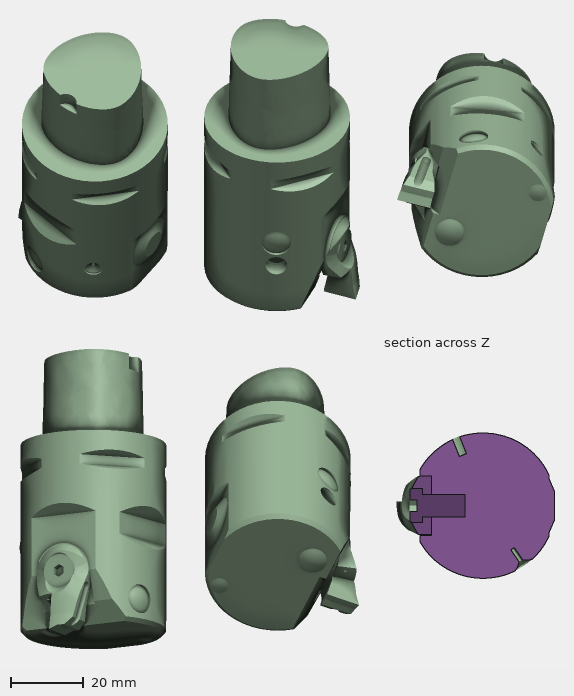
import cadquery as cq
import math


body_radius = 20.0
body_bottom = -53.0
bottom_chamfer = 1.1
shank_length = 24.0
shank_size = 28.0
shank_lobe = 0.73
shank_taper = 1 / 20
shank_curve_points = 72
key_diameter = 6.0
key_axis_y = -13.8
key_depth = 4.3

gripper_z = -8.05
gripper_floor_height = 2.6
gripper_floor_radius = 17.7
gripper_wall_angle = 30.0
gripper_directions = (45, 135, 225, 315)
flat_wall_angle = 45.0
flat_top = -22.75
flat_bottom = -28.85
flat_floor_radius = 17.2
flat_direction = 260.0
back_flat_x = 18.16
back_flat_top = -30.6
back_relief_x = 19.9
back_relief_top = -23.3

front_flat_half_width = 10.0
front_flat_x = -math.sqrt(body_radius**2 - front_flat_half_width**2)
seat_z = -39.0
nose_angle = 18.0
kink_z = -47.35
kink_angle = 33.0
kink_side_y = 3.7
pocket_diameter = 16.1
seat_x = -14.15

plug_diameter = 8.02
plug_sphere_radius = 8.0
plug_length = 3.0
side_plug_angle = 111.7
low_plug_z = -46.4
high_plug_z = -28.4
high_plug_lift = 0.3
bottom_plug_center = (-6.9, 8.1)
small_plug_center = (13.3, -9.75)
small_plug_diameter = 5.0
button_base_diameter = 14.8
button_top_diameter = 7.6
button_height = 1.55
button_root = 1.0
nozzle_direction = -55.6
nozzle_z = seat_z
nozzle_rim_diameter = 5.25
nozzle_cone_diameter = 4.4
nozzle_hole_diameter = 1.0
nozzle_rim_depth = 0.4
nozzle_cone_depth = 1.2
nozzle_hole_depth = 4.0
side_hole_diameter = 6.0
side_hole_z = -36.2
side_hole_depth = 5.0

disc_diameter = 16.0
insert_front_x = -20.5
crown_start_x = -18.5
crown_start_radius = 7.65
arm_back_x = -15.7
arm_back_bend_z = -48.6
arm_foot_x = -14.4
foot_z = -55.0
tip_z = -56.0
tip_x = -23.74
swell_start_z = -39.5
swell_end_x = -22.2
swell_end_z = -45.4
tip_flare_x = -22.95
tip_flare_z = -51.8
face_radius = 13.5
cutting_edge_y = 1.1
tip_width = 2.4
flank_corner = (-5.3, -52.9)
foot_corner_y = -3.35
ledge_corner = (4.75, -47.3)
ledge_front_z = -45.4
ledge_hole_diameter = 1.0
ledge_hole_center = (-18.5, 3.9)
ledge_hole_top = -44.5
channel_diameter = 2.5
channel_top = (-17.6, -43.6)
channel_bottom = (-19.8, -56.5)

head_diameter = 9.2
head_front_x = -20.15
head_length = 3.5
thread_diameter = 6.0
bore_diameter = 6.1
screw_end_x = -5.0
socket_width = 3.1
socket_depth = 2.0
socket_sides = 6

far = 30.0


def box(x, y, z):
    """Box from (min, max) pairs along X, Y and Z."""
    size = (x[1] - x[0], y[1] - y[0], z[1] - z[0])
    return cq.Workplane("XY").box(*size, centered=False).translate((x[0], y[0], z[0]))


def prism_y(points, y_min, y_max):
    """(x, z) outline extruded along Y."""
    outline = cq.Workplane("XZ", origin=(0, y_max, 0)).polyline(points).close()
    return outline.extrude(y_max - y_min)


def rod_x(diameter, x_min, x_max):
    """Cylinder on the insert screw axis, parallel to X."""
    plane = cq.Workplane("YZ", origin=(x_min, 0, seat_z))
    return plane.circle(diameter / 2).extrude(x_max - x_min)


def revolve_x(points):
    """(x, radius) outline turned about the insert screw axis."""
    outline = cq.Workplane("XZ", origin=(0, 0, seat_z)).polyline(points).close()
    return outline.revolve(360, (0, 0, 0), (1, 0, 0))


def radial_solid(points, direction, z):
    """(distance from tool axis, radius) outline turned about a radial axis."""
    outline = cq.Workplane("XZ").polyline(points).close()
    turned = outline.revolve(360, (0, 0, 0), (1, 0, 0))
    return turned.rotate((0, 0, 0), (0, 0, 1), direction).translate((0, 0, z))


def polygon_shank():
    """Tapered three-lobed shank with one lobe pointing to +Y."""
    def lobed_curve(size):
        def point(t):
            angle = 2 * math.pi * t
            reach = size / 2 - shank_lobe * math.sin(3 * angle)
            slope = -3 * shank_lobe * math.cos(3 * angle)
            x = reach * math.cos(angle) - slope * math.sin(angle)
            y = reach * math.sin(angle) + slope * math.cos(angle)
            return (x, y)
        return point

    top_size = shank_size - shank_taper * shank_length
    shank = (
        cq.Workplane("XY")
        .parametricCurve(lobed_curve(shank_size), N=shank_curve_points)
        .workplane(offset=shank_length)
        .parametricCurve(lobed_curve(top_size), N=shank_curve_points)
        .loft(ruled=True)
    )
    key_plane = cq.Workplane("XY", origin=(0, key_axis_y, shank_length))
    return shank.cut(key_plane.circle(key_diameter / 2).extrude(-key_depth))


def edge_groove(floor_radius, z_top, z_bottom, wall_angle, direction):
    """Straight groove across the cylinder with sloped upper and lower walls."""
    rise = (far - floor_radius) * math.tan(math.radians(wall_angle))
    section = [
        (floor_radius, z_bottom),
        (floor_radius, z_top),
        (far, z_top + rise),
        (far, z_bottom - rise),
    ]
    return prism_y(section, -far, far).rotate((0, 0, 0), (0, 0, 1), direction)


def cut_flats(body):
    half_floor = gripper_floor_height / 2
    for direction in gripper_directions:
        groove = edge_groove(
            gripper_floor_radius, gripper_z + half_floor, gripper_z - half_floor,
            gripper_wall_angle, direction,
        )
        body = body.cut(groove)
    side_flat = edge_groove(
        flat_floor_radius, flat_top, flat_bottom, flat_wall_angle, flat_direction
    )
    back_flat = edge_groove(back_flat_x, back_flat_top, body_bottom, flat_wall_angle, 0)
    body = body.cut(side_flat).cut(back_flat)
    return body.cut(box((back_relief_x, far), (-far, far), (back_flat_top, back_relief_top)))


def cut_nose(body):
    """Front flat that leans inward below the seat centre, with a steeper corner."""
    nose_slope = math.tan(math.radians(nose_angle))
    kink_slope = math.tan(math.radians(kink_angle))
    kink_x = front_flat_x + nose_slope * (seat_z - kink_z)
    bottom_x = front_flat_x + nose_slope * (seat_z - body_bottom)
    kink_bottom_x = kink_x + kink_slope * (kink_z - body_bottom)
    flat_and_nose = [
        (front_flat_x, flat_top),
        (front_flat_x, seat_z),
        (bottom_x, body_bottom),
        (-far, body_bottom),
        (-far, flat_top + far + front_flat_x),
    ]
    corner = [(kink_x, kink_z), (kink_bottom_x, body_bottom), (-far, body_bottom), (-far, kink_z)]
    body = body.cut(prism_y(flat_and_nose, -far, far))
    return body.cut(prism_y(corner, -far, kink_side_y))


def cut_seat(body):
    half_width = pocket_diameter / 2
    round_end = rod_x(pocket_diameter, -far, seat_x)
    open_end = box((-far, seat_x), (-half_width, half_width), (body_bottom, seat_z))
    thread = rod_x(thread_diameter, seat_x, screw_end_x)
    return body.cut(round_end).cut(open_end).cut(thread)


def dome_plug(diameter):
    """Short plug along +Z whose spherical crown peaks at the origin."""
    radius = diameter / 2
    crown = plug_sphere_radius - math.sqrt(plug_sphere_radius**2 - radius**2)
    ball = cq.Workplane("XY").sphere(plug_sphere_radius).translate((0, 0, -plug_sphere_radius))
    plug = cq.Workplane("XY").circle(radius).extrude(-plug_length).intersect(ball)
    return plug, crown


def add_side_plug(body, direction, z, peak_radius):
    """Domed plug in a radial hole of the cylinder wall."""
    plug, crown = dome_plug(plug_diameter)
    plug = plug.rotate((0, 0, 0), (0, 1, 0), 90).translate((peak_radius, 0, 0))
    plug = plug.rotate((0, 0, 0), (0, 0, 1), direction).translate((0, 0, z))
    rim = peak_radius - crown
    radius = plug_diameter / 2
    hole = radial_solid([(rim, 0), (rim, radius), (far, radius), (far, 0)], direction, z)
    return body.cut(hole).union(plug)


def add_bottom_plug(body, center, diameter):
    """Domed plug whose crown stands out of the bottom face."""
    plug, crown = dome_plug(diameter)
    plug = plug.rotate((0, 0, 0), (1, 0, 0), 180)
    return body.union(plug.translate((center[0], center[1], body_bottom - crown)))


def add_back_button(body):
    """Low conical button on the rear flat, in line with the insert screw."""
    top_x = back_flat_x + button_height
    button = [
        (back_flat_x - button_root, 0),
        (back_flat_x - button_root, button_base_diameter / 2),
        (back_flat_x, button_base_diameter / 2),
        (top_x, button_top_diameter / 2),
        (top_x, 0),
    ]
    return body.union(revolve_x(button))


def cut_side_openings(body):
    rim_floor = body_radius - nozzle_rim_depth
    cone_floor = rim_floor - nozzle_cone_depth
    hole_end = cone_floor - nozzle_hole_depth
    nozzle = [
        (hole_end, 0),
        (hole_end, nozzle_hole_diameter / 2),
        (cone_floor, nozzle_hole_diameter / 2),
        (rim_floor, nozzle_cone_diameter / 2),
        (rim_floor, nozzle_rim_diameter / 2),
        (far, nozzle_rim_diameter / 2),
        (far, 0),
    ]
    hole_floor = body_radius - side_hole_depth
    hole_radius = side_hole_diameter / 2
    hole = [(hole_floor, 0), (hole_floor, hole_radius), (far, hole_radius), (far, 0)]
    body = body.cut(radial_solid(nozzle, nozzle_direction, nozzle_z))
    return body.cut(radial_solid(hole, side_plug_angle, side_hole_z))


def make_holder():
    body = cq.Workplane("XY").circle(body_radius).extrude(body_bottom)
    body = body.faces("<Z").chamfer(bottom_chamfer)
    body = cut_flats(body)
    body = cut_nose(body)
    body = cut_seat(body)
    body = cut_side_openings(body)
    body = add_side_plug(body, -side_plug_angle, low_plug_z, body_radius)
    body = add_side_plug(body, side_plug_angle, high_plug_z, body_radius + high_plug_lift)
    body = add_bottom_plug(body, bottom_plug_center, plug_diameter)
    body = add_bottom_plug(body, small_plug_center, small_plug_diameter)
    body = add_back_button(body)
    return body.union(polygon_shank())


def tangent_point(corner, side):
    """Point (y, z) where a line from the corner touches the insert disc."""
    radius = disc_diameter / 2
    dy = corner[0]
    dz = corner[1] - seat_z
    angle = math.atan2(dz, dy) + side * math.acos(radius / math.hypot(dy, dz))
    return (radius * math.cos(angle), seat_z + radius * math.sin(angle))


def insert_outline():
    """Disc with an arm hanging from it, extruded through the full thickness."""
    arm_points = [
        tangent_point(ledge_corner, 1),
        ledge_corner,
        (cutting_edge_y, ledge_corner[1]),
        (cutting_edge_y, tip_z),
        (cutting_edge_y - tip_width, foot_z),
        (foot_corner_y, foot_z),
        flank_corner,
        tangent_point(flank_corner, -1),
        (0, seat_z),
    ]
    arm = cq.Workplane("YZ", origin=(-far, 0, 0)).polyline(arm_points).close()
    arm = arm.extrude(far)
    arm_side = [
        (-far, seat_z + disc_diameter / 2),
        (-far, tip_z),
        (arm_foot_x, tip_z),
        (arm_foot_x, foot_z),
        (arm_back_x, arm_back_bend_z),
        (arm_back_x, seat_z + disc_diameter / 2),
    ]
    arm = arm.intersect(prism_y(arm_side, -far, far))
    return arm.union(rod_x(disc_diameter, tip_x, seat_x))


def insert_face():
    """Rounded front of the insert: upright at the disc, swelling out along the arm."""
    edge_drop = face_radius - math.sqrt(face_radius**2 - cutting_edge_y**2)
    top = cq.Vector(insert_front_x, 0, seat_z + disc_diameter / 2)
    swell_start = cq.Vector(insert_front_x, 0, swell_start_z)
    swell_end = cq.Vector(swell_end_x, 0, swell_end_z)
    tip_flare = cq.Vector(tip_flare_x, 0, tip_flare_z)
    tip = cq.Vector(tip_x - edge_drop, 0, tip_z)
    overrun = tip_flare + (tip_flare - swell_end)
    front_line = cq.Workplane(cq.Edge.makeSpline(
        [top, (top + swell_start) * 0.5, swell_start, swell_end, tip_flare, overrun],
        tangents=[swell_start - top, overrun - tip_flare],
    ))
    section_plane = cq.Workplane("XY", origin=(insert_front_x + face_radius, 0, top.z))
    body = section_plane.circle(face_radius).sweep(front_line)

    flare = tip - tip_flare
    lean = math.degrees(math.atan2(flare.x, flare.z)) - 180
    cutting_end = cq.Workplane("XY").circle(face_radius).extrude(far, both=True)
    cutting_end = cutting_end.translate((face_radius, 0, 0))
    cutting_end = cutting_end.rotate((0, 0, 0), (0, 1, 0), lean).translate(tip_flare.toTuple())
    below_flare = box((-far, far), (-far, far), (tip_z, tip_flare_z))
    return body.union(cutting_end.intersect(below_flare))


def insert_crown():
    """45 degree conical trim around the upper half of the disc."""
    reach = crown_start_x - insert_front_x
    cone = [
        (crown_start_x, crown_start_radius),
        (insert_front_x - reach, crown_start_radius - 2 * reach),
        (insert_front_x - reach, far),
        (crown_start_x, far),
    ]
    upper_half = box((-far, 0), (-far, far), (seat_z, far))
    return revolve_x(cone).intersect(upper_half)


def screw_recess():
    """Counterbore and clearance bore, flaring at 45 degrees in front of the head."""
    head_radius = head_diameter / 2
    flare = far + head_front_x
    head_back_x = head_front_x + head_length
    recess = [
        (seat_x, 0),
        (seat_x, bore_diameter / 2),
        (head_back_x, bore_diameter / 2),
        (head_back_x, head_radius),
        (head_front_x, head_radius),
        (-far, head_radius + flare),
        (-far, 0),
    ]
    return revolve_x(recess)


def coolant_channel():
    """Round-bottomed channel sunk half its width into the -Y flank of the arm."""
    top_contact = tangent_point(flank_corner, -1)
    flank_slope = (flank_corner[0] - top_contact[0]) / (top_contact[1] - flank_corner[1])

    def on_flank(point):
        y = flank_corner[0] - flank_slope * (point[1] - flank_corner[1])
        return cq.Vector(point[0], y, point[1])

    start = on_flank(channel_top)
    run = on_flank(channel_bottom) - start
    radius = channel_diameter / 2
    groove = cq.Workplane(cq.Solid.makeCylinder(radius, run.Length, start, run))
    return groove.union(cq.Workplane("XY").sphere(radius).translate(start.toTuple()))


def ledge_undercut():
    """Sloped underside of the disc beside the arm."""
    wedge = [
        (seat_x, ledge_corner[1]),
        (tip_x, ledge_front_z),
        (tip_x, ledge_corner[1]),
    ]
    return prism_y(wedge, cutting_edge_y, far)


def ledge_hole():
    """Small hole rising into the sloped underside."""
    plane = cq.Workplane("XY", origin=(*ledge_hole_center, ledge_hole_top))
    return plane.circle(ledge_hole_diameter / 2).extrude(ledge_corner[1] - ledge_hole_top)


def make_insert():
    insert = insert_outline().intersect(insert_face())
    insert = insert.cut(insert_crown()).cut(screw_recess())
    return insert.cut(coolant_channel()).cut(ledge_undercut()).cut(ledge_hole())


def make_screw():
    head = rod_x(head_diameter, head_front_x, head_front_x + head_length)
    thread = rod_x(thread_diameter, head_front_x + head_length, screw_end_x)
    socket_corners = socket_width / math.cos(math.pi / socket_sides)
    socket = (
        cq.Workplane("YZ", origin=(head_front_x, 0, seat_z))
        .transformed(rotate=(0, 0, 90))
        .polygon(socket_sides, socket_corners)
        .extrude(socket_depth)
    )
    return head.union(thread).cut(socket)


holder = make_holder()
insert = make_insert()
screw = make_screw()

result = cq.Compound.makeCompound([holder.val(), insert.val(), screw.val()])